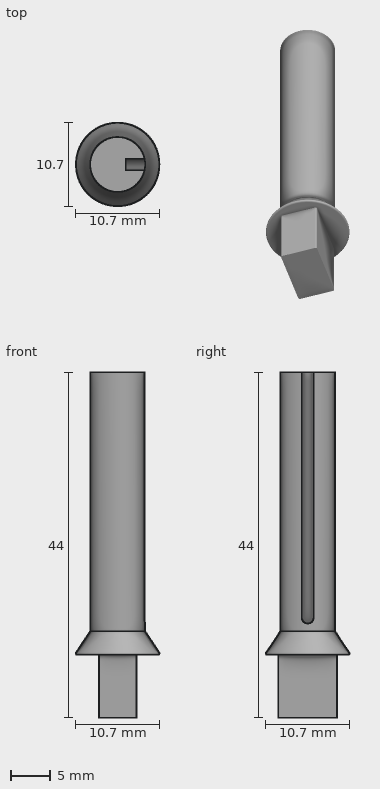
import cadquery as cq
import math

total_height = 44.0
tang_height = 8.0
collar_height = 3.0

shaft_diameter = 7.0
collar_diameter = 10.65
collar_rim_radius = 0.2

tang_width_x = 4.8
tang_width_y = 7.5
tang_corner_radius = 0.2

keyway_width = 1.5
keyway_floor_x = 1.0
keyway_bottom_z = 12.0


def make_shaft_with_collar():
    """Revolve the shaft and its conical, round-rimmed collar about the Z axis."""
    shaft_radius = shaft_diameter / 2
    collar_top_z = tang_height + collar_height

    rim_center_x = collar_diameter / 2 - collar_rim_radius
    rim_center_z = tang_height + collar_rim_radius
    run = rim_center_x - shaft_radius
    rise = collar_top_z - rim_center_z
    center_direction = math.atan2(rise, -run)
    tangent_offset = math.acos(collar_rim_radius / math.hypot(run, rise))
    contact_angle = center_direction - tangent_offset
    rim_contact = (
        rim_center_x + collar_rim_radius * math.cos(contact_angle),
        rim_center_z + collar_rim_radius * math.sin(contact_angle),
    )

    profile = (
        cq.Workplane("XZ")
        .moveTo(0, tang_height)
        .lineTo(rim_center_x, tang_height)
        .threePointArc((collar_diameter / 2, rim_center_z), rim_contact)
        .lineTo(shaft_radius, collar_top_z)
        .lineTo(shaft_radius, total_height)
        .lineTo(0, total_height)
        .close()
    )
    return profile.revolve(360, (0, 0, 0), (0, 1, 0))


def make_tang():
    """Rectangular drive end with rounded vertical edges."""
    tang = cq.Workplane("XY").rect(tang_width_x, tang_width_y).extrude(tang_height)
    return tang.edges("|Z").fillet(tang_corner_radius)


def make_keyway():
    """Keyway cutter: straight up to the top face, with a half-round lower end."""
    half_width = keyway_width / 2
    arc_center_z = keyway_bottom_z + half_width
    return (
        cq.Workplane("YZ", origin=(keyway_floor_x, 0, 0))
        .moveTo(-half_width, total_height)
        .lineTo(-half_width, arc_center_z)
        .threePointArc((0, keyway_bottom_z), (half_width, arc_center_z))
        .lineTo(half_width, total_height)
        .close()
        .extrude(shaft_diameter / 2)
    )


result = make_shaft_with_collar().union(make_tang()).cut(make_keyway())